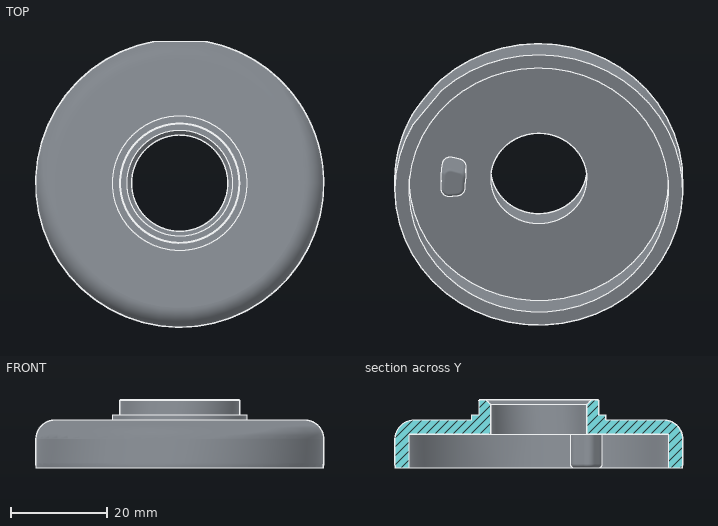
import cadquery as cq
import math

disc_radius = 30.0
disc_height = 10.0
edge_round = 4.0
rim_band_height = 1.0
rim_band_round = 6.0
wall_thickness = 3.0
ceiling_thickness = 3.0
flat_distance = 29.5

flange_diameter = 28.0
flange_height = 1.0
neck_diameter = 25.0
neck_height = 3.2
neck_edge_chamfer = 0.2

bore_diameter = 20.0
bore_chamfer = 1.0

lug_inner_radius = 15.35
lug_width = 5.0
lug_angle = 56.6
lug_half_span = 9.9
lug_corner_round = 1.7
lug_bottom_round = 0.8

ceiling_height = disc_height - ceiling_thickness
total_height = disc_height + flange_height + neck_height


def cylinder(diameter, bottom, top):
    return cq.Workplane("XY").workplane(offset=bottom).circle(diameter / 2).extrude(top - bottom)


def polar_point(radius, angle):
    return (radius * math.cos(math.radians(angle)), radius * math.sin(math.radians(angle)))


def rim_radius_at(height):
    """Outer radius of the rim band, an arc tangent to the side wall at the top of the band."""
    drop = rim_band_height - height
    return disc_radius - rim_band_round + math.sqrt(rim_band_round**2 - drop**2)


def make_disc():
    """Hollow disc with a large round above, a cut-off round below and a flat on the +Y side."""
    diagonal = math.sqrt(0.5)
    round_center = (disc_radius - edge_round, disc_height - edge_round)
    round_middle = (round_center[0] + edge_round * diagonal, round_center[1] + edge_round * diagonal)
    band_middle = (rim_radius_at(rim_band_height / 2), rim_band_height / 2)
    disc = (
        cq.Workplane("XZ")
        .lineTo(rim_radius_at(0), 0)
        .threePointArc(band_middle, (disc_radius, rim_band_height))
        .lineTo(disc_radius, round_center[1])
        .threePointArc(round_middle, (round_center[0], disc_height))
        .lineTo(0, disc_height)
        .close()
        .revolve()
    )
    flat_limit = (
        cq.Workplane("XY")
        .box(2 * disc_radius, disc_radius + flat_distance, disc_height, centered=(True, False, False))
        .translate((0, -disc_radius, 0))
    )
    cavity = cylinder(2 * (disc_radius - wall_thickness), 0, ceiling_height)
    return disc.intersect(flat_limit).cut(cavity)


def make_neck():
    flange = cylinder(flange_diameter, ceiling_height, disc_height + flange_height)
    neck = cylinder(neck_diameter, ceiling_height, total_height)
    return flange.union(neck.faces(">Z").edges().chamfer(neck_edge_chamfer))


def make_bore():
    bore = cylinder(bore_diameter, 0, total_height)
    countersink = (
        cq.Workplane("XY")
        .workplane(offset=total_height - bore_chamfer)
        .circle(bore_diameter / 2)
        .workplane(offset=bore_chamfer)
        .circle(bore_diameter / 2 + bore_chamfer)
        .loft()
    )
    return bore.union(countersink)


def make_lug():
    """Rounded block whose long sides are arcs around the disc axis."""
    outer_radius = lug_inner_radius + lug_width
    start = lug_angle - lug_half_span
    end = lug_angle + lug_half_span
    return (
        cq.Workplane("XY")
        .moveTo(*polar_point(lug_inner_radius, start))
        .threePointArc(polar_point(lug_inner_radius, lug_angle), polar_point(lug_inner_radius, end))
        .lineTo(*polar_point(outer_radius, end))
        .threePointArc(polar_point(outer_radius, lug_angle), polar_point(outer_radius, start))
        .close()
        .extrude(ceiling_height)
        .edges("|Z")
        .fillet(lug_corner_round)
        .faces("<Z")
        .edges()
        .fillet(lug_bottom_round)
    )


result = make_disc().union(make_neck()).cut(make_bore()).union(make_lug())